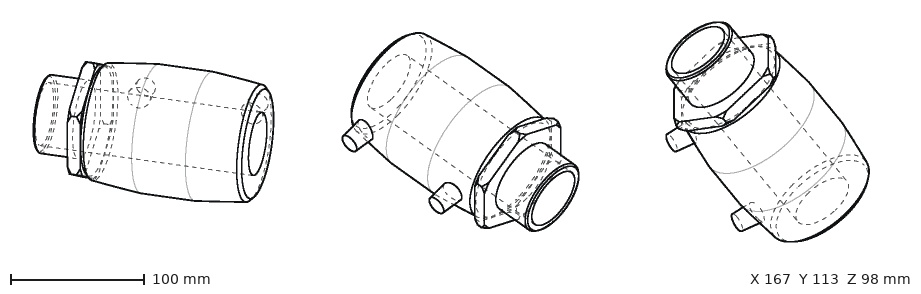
import cadquery as cq
import math

SPIGOT_LENGTH = 31.0
NUT_WIDTH = 10.0
BODY_START = SPIGOT_LENGTH + NUT_WIDTH
BODY_LENGTH = 126.0
BODY_END = BODY_START + BODY_LENGTH
BAND_WIDTH = 42.0
BAND_START = BODY_START + (BODY_LENGTH - BAND_WIDTH) / 2
BAND_END = BAND_START + BAND_WIDTH

BORE_RADIUS = 47.69 / 2
SPIGOT_RADIUS = 59.61 / 2
SPIGOT_CHAMFER = 1.4
BAND_RADIUS = 98.0 / 2
SHOULDER_RADIUS = 44.5
BODY_CHAMFER = 3.0
FLANK_BULGE = 0.15

NUT_SIDES = 6
NUT_ACROSS_CORNERS = 98.0
NUT_SIDE_LENGTH = NUT_ACROSS_CORNERS / 2
NUT_CORNER_CUT = 2.8

TERMINAL_TIP_Y = 64.0
TERMINAL_ROOT_Y = 40.0
TERMINAL_TIP_DIAMETER = 14.8
TERMINAL_TAPER_DEGREES = 4.0
FIRST_TERMINAL_X = 60.0
TERMINAL_SPACING = 88.2


def flank_middle(x_low, x_high):
    """Middle point of the slightly bulged flank between shoulder and band."""
    return ((x_low + x_high) / 2, (SHOULDER_RADIUS + BAND_RADIUS) / 2 + FLANK_BULGE)


def make_body():
    """Barrel-shaped sleeve with a cylindrical band and chamfered ends."""
    end_radius = SHOULDER_RADIUS - BODY_CHAMFER
    shoulder_start = BODY_START + BODY_CHAMFER
    shoulder_end = BODY_END - BODY_CHAMFER
    profile = (
        cq.Workplane("XY")
        .moveTo(BODY_START, 0)
        .lineTo(BODY_START, end_radius)
        .lineTo(shoulder_start, SHOULDER_RADIUS)
        .threePointArc(flank_middle(shoulder_start, BAND_START), (BAND_START, BAND_RADIUS))
        .lineTo(BAND_END, BAND_RADIUS)
        .threePointArc(flank_middle(BAND_END, shoulder_end), (shoulder_end, SHOULDER_RADIUS))
        .lineTo(BODY_END, end_radius)
        .lineTo(BODY_END, 0)
        .close()
    )
    return profile.revolve(360, (0, 0, 0), (1, 0, 0))


def make_spigot():
    """Cylindrical pipe end with a chamfered rim."""
    spigot = cq.Workplane("YZ").circle(SPIGOT_RADIUS).extrude(BODY_START)
    return spigot.faces("<X").chamfer(SPIGOT_CHAMFER)


def make_corner_wedge(face_x, inward):
    """45 degree wedge that trims the +Z nut corner at one face; inward is the X sign into the nut."""
    corner = NUT_ACROSS_CORNERS / 2
    return (
        cq.Workplane("XZ")
        .moveTo(face_x, corner - NUT_CORNER_CUT)
        .lineTo(face_x, corner)
        .lineTo(face_x + inward * NUT_CORNER_CUT, corner)
        .close()
        .extrude(NUT_SIDE_LENGTH / 2, both=True)
    )


def make_nut():
    """Hexagon with corners on the Z axis, each corner cut flat at 45 degrees on both faces."""
    nut = (
        cq.Workplane("YZ", origin=(SPIGOT_LENGTH, 0, 0))
        .polygon(NUT_SIDES, NUT_ACROSS_CORNERS)
        .extrude(NUT_WIDTH)
        .rotate((0, 0, 0), (1, 0, 0), 90)
    )
    for face_x, inward in ((SPIGOT_LENGTH, 1), (BODY_START, -1)):
        wedge = make_corner_wedge(face_x, inward)
        for index in range(NUT_SIDES):
            nut = nut.cut(wedge.rotate((0, 0, 0), (1, 0, 0), index * 360 / NUT_SIDES))
    return nut


def make_terminal(x):
    """Tapered round terminal, narrowest at its +Y tip."""
    height = TERMINAL_TIP_Y - TERMINAL_ROOT_Y
    root_radius = TERMINAL_TIP_DIAMETER / 2 + height * math.tan(math.radians(TERMINAL_TAPER_DEGREES))
    cone = cq.Solid.makeCone(
        root_radius,
        TERMINAL_TIP_DIAMETER / 2,
        height,
        cq.Vector(x, TERMINAL_ROOT_Y, 0),
        cq.Vector(0, 1, 0),
    )
    return cq.Workplane(obj=cone)


def make_bore():
    """Round passage through the whole length."""
    return cq.Workplane("YZ").circle(BORE_RADIUS).extrude(BODY_END)


part = make_body().union(make_spigot()).union(make_nut())
for terminal_x in (FIRST_TERMINAL_X, FIRST_TERMINAL_X + TERMINAL_SPACING):
    part = part.union(make_terminal(terminal_x))
result = part.cut(make_bore())